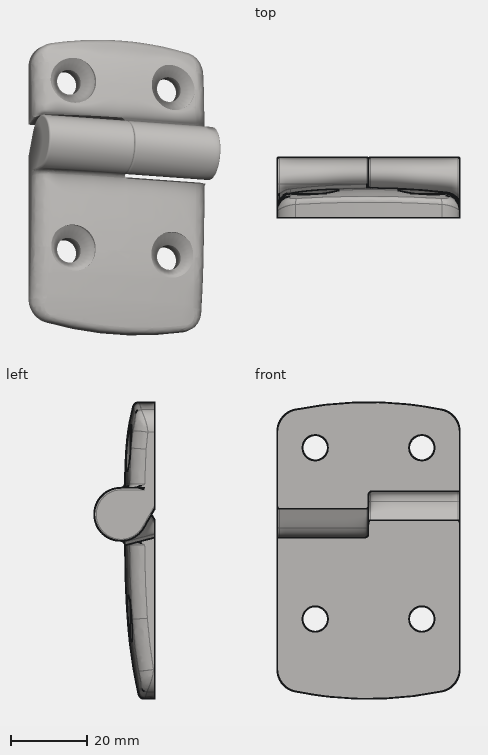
import cadquery as cq
import math


AXIS_Y = 8.95
AXIS_Z = 9.5

KNUCKLE_RADIUS = 7.0
KNUCKLE_EDGE_RADIUS = 0.5
KNUCKLE_ROOT_RADIUS = 1.0
FLANK_ANGLE = math.radians(30)

RECESS_START = 6.1
RECESS_SLOPE = math.radians(14.5)
RECESS_CORNER_RADIUS = 1.0

WIDTH = 48.0
HALF_WIDTH = WIDTH / 2
THICKNESS = 7.9
CROWN_RADIUS = 175.0
END_ARC_RADIUS = 96.0
CORNER_RADIUS = 6.0
SIDE_FILLET = 4.0
END_FILLET = 1.6

UPPER_LENGTH = 29.5
UPPER_HOLE_DISTANCE = 17.5
LOWER_LENGTH = 48.5
LOWER_HOLE_DISTANCE = 27.5

UPPER_INNER_BEND = 150.0
UPPER_OUTER_BEND = 57.0
LOWER_INNER_BEND = 300.0
LOWER_OUTER_BEND = 130.0

HOLE_SPACING = 28.0
HOLE_RADIUS = 3.3
HOLE_LENGTH = 3.5
SINK_RADIUS = 6.2
SINK_HALF_ANGLE = math.radians(45)

MARGIN = 10.0

FLANK_Y = AXIS_Y - KNUCKLE_RADIUS * math.cos(FLANK_ANGLE)
FLANK_Z = -KNUCKLE_RADIUS * math.sin(FLANK_ANGLE)
FLANK_FOOT_Z = FLANK_Z + FLANK_Y / math.tan(FLANK_ANGLE)


def outline_block(length):
    """Plate outline with a bowed end and round corners, thicker than the finished plate."""
    end_drop = END_ARC_RADIUS - math.sqrt(END_ARC_RADIUS**2 - HALF_WIDTH**2)
    return (
        cq.Workplane("XZ")
        .moveTo(-HALF_WIDTH, FLANK_Z)
        .lineTo(-HALF_WIDTH, length - end_drop)
        .threePointArc((0, length), (HALF_WIDTH, length - end_drop))
        .lineTo(HALF_WIDTH, FLANK_Z)
        .close()
        .extrude(-THICKNESS - MARGIN)
        .edges("|Y")
        .edges(">Z")
        .fillet(CORNER_RADIUS)
    )


def crowned_envelope(length, hole_distance, inner_bend, outer_bend):
    """Ring whose outer surface is the doubly curved back face."""
    crown_axis_y = THICKNESS - CROWN_RADIUS
    end_z = length + MARGIN
    bend_start = KNUCKLE_RADIUS
    inner_angle = math.asin((hole_distance - bend_start) / inner_bend)
    outer_center_z = hole_distance - outer_bend * math.sin(inner_angle)
    outer_center_y = THICKNESS - inner_bend + (inner_bend - outer_bend) * math.cos(inner_angle)
    outer_angle = math.asin((end_z - outer_center_z) / outer_bend)

    def inner_point(angle):
        return (
            THICKNESS - inner_bend * (1 - math.cos(angle)),
            bend_start + inner_bend * math.sin(angle),
        )

    def outer_point(angle):
        return (
            outer_center_y + outer_bend * math.cos(angle),
            outer_center_z + outer_bend * math.sin(angle),
        )

    return (
        cq.Workplane("YZ")
        .moveTo(-MARGIN, -MARGIN)
        .lineTo(THICKNESS, -MARGIN)
        .lineTo(THICKNESS, bend_start)
        .threePointArc(inner_point(inner_angle / 2), inner_point(inner_angle))
        .threePointArc(outer_point((inner_angle + outer_angle) / 2), outer_point(outer_angle))
        .lineTo(-MARGIN, end_z)
        .close()
        .revolve(360, (crown_axis_y, 0), (crown_axis_y, 1))
        .rotate((0, crown_axis_y, 0), (0, crown_axis_y, 1), 90)
    )


def round_back_edges(plate):
    """Fillet the back rim: large along the sides, small along the end, blended at the corners."""
    fillet = cq.occ_impl.shapes.BRepFilletAPI_MakeFillet(plate.val().wrapped)
    rim_edge = plate.faces("<X").edges(">Y").val()
    fillet.Add(rim_edge.wrapped)
    tolerance = 0.01
    for index in range(1, fillet.NbEdges(1) + 1):
        for vertex in cq.Edge(fillet.Edge(1, index)).Vertices():
            on_side = abs(vertex.X) > HALF_WIDTH - tolerance
            fillet.SetRadius(SIDE_FILLET if on_side else END_FILLET, 1, vertex.wrapped)
    return cq.Workplane(cq.Shape.cast(fillet.Shape()).Solids()[0])


def below_flank():
    """Space under the slanted flank, between the flat face and the tangent point."""
    return (
        cq.Workplane("YZ", origin=(-HALF_WIDTH, 0, 0))
        .moveTo(0, FLANK_FOOT_Z)
        .lineTo(FLANK_Y, FLANK_Z)
        .lineTo(0, FLANK_Z)
        .close()
        .extrude(WIDTH)
    )


def knuckle_block(x_start, x_end):
    """Barrel, flat on top, whose slanted flank runs down to the flat face."""
    return (
        cq.Workplane("YZ", origin=(x_start, 0, 0))
        .moveTo(0, KNUCKLE_RADIUS)
        .lineTo(AXIS_Y, KNUCKLE_RADIUS)
        .threePointArc((2 * AXIS_Y - FLANK_Y, FLANK_Z), (FLANK_Y, FLANK_Z))
        .lineTo(0, FLANK_FOOT_Z)
        .close()
        .extrude(x_end - x_start)
    )


def recess():
    """Space on the +X half that the other leaf's knuckle turns in."""
    depth = AXIS_Y + KNUCKLE_RADIUS + MARGIN
    return (
        cq.Workplane("YZ")
        .moveTo(0, -MARGIN)
        .lineTo(depth, -MARGIN)
        .lineTo(depth, RECESS_START + depth * math.tan(RECESS_SLOPE))
        .lineTo(0, RECESS_START)
        .close()
        .extrude(HALF_WIDTH + MARGIN)
        .faces("<X")
        .edges(">Z")
        .fillet(RECESS_CORNER_RADIUS)
    )


def knuckle_edge_trim(plate):
    """Material that rounding both end faces of the knuckle takes away, sparing the plate at its top."""
    block = knuckle_block(-HALF_WIDTH, 0)
    rounded = block.faces("<X or >X").edges("not <Y").fillet(KNUCKLE_EDGE_RADIUS)
    top_region = cq.Workplane("XY", origin=(0, 0, KNUCKLE_RADIUS - KNUCKLE_EDGE_RADIUS)).box(
        2 * WIDTH, 2 * WIDTH, 2 * WIDTH, centered=(True, True, False)
    )
    return block.cut(rounded).cut(plate.intersect(top_region))


def screw_hole(x, z):
    """Through hole with a countersink that opens into a straight bore at the back face."""
    sink_end = HOLE_LENGTH + (SINK_RADIUS - HOLE_RADIUS) / math.tan(SINK_HALF_ANGLE)
    return (
        cq.Workplane("XY", origin=(x, 0, z))
        .lineTo(HOLE_RADIUS, 0)
        .lineTo(HOLE_RADIUS, HOLE_LENGTH)
        .lineTo(SINK_RADIUS, sink_end)
        .lineTo(SINK_RADIUS, THICKNESS + MARGIN)
        .lineTo(0, THICKNESS + MARGIN)
        .close()
        .revolve(360, (0, 0), (0, 1))
    )


def leaf(length, hole_distance, inner_bend, outer_bend):
    """One hinge leaf about an axis at Z = 0."""
    envelope = crowned_envelope(length, hole_distance, inner_bend, outer_bend)
    plate = round_back_edges(outline_block(length).intersect(envelope)).cut(below_flank())

    overhang = HALF_WIDTH + MARGIN
    body = plate.union(knuckle_block(-overhang, overhang))
    body = body.faces("+Z").edges("not (<X or >X or <Y or >Y)").fillet(KNUCKLE_ROOT_RADIUS)
    body = body.intersect(cq.Workplane("XY").box(WIDTH, 2 * WIDTH, 2 * length + MARGIN))
    body = body.cut(recess())
    body = body.cut(knuckle_edge_trim(plate))

    for x in (-HOLE_SPACING / 2, HOLE_SPACING / 2):
        body = body.cut(screw_hole(x, hole_distance))
    return body


axis_position = (0, 0, AXIS_Z)

upper_leaf = leaf(
    UPPER_LENGTH, UPPER_HOLE_DISTANCE, UPPER_INNER_BEND, UPPER_OUTER_BEND
).translate(axis_position)

lower_leaf = (
    leaf(LOWER_LENGTH, LOWER_HOLE_DISTANCE, LOWER_INNER_BEND, LOWER_OUTER_BEND)
    .rotate((0, 0, 0), (0, 1, 0), 180)
    .translate(axis_position)
)

result = cq.Compound.makeCompound([upper_leaf.val(), lower_leaf.val()])